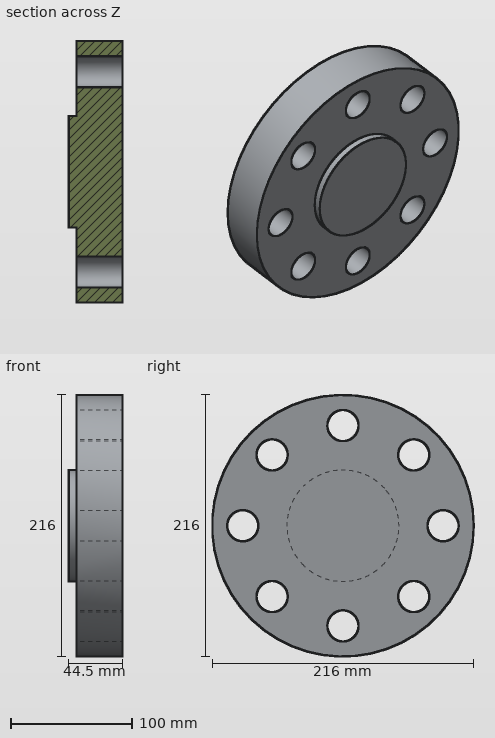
import cadquery as cq

flange_diameter = 216.0
overall_thickness = 44.5

raised_face_diameter = 92.2
raised_face_height = 6.5
flange_thickness = overall_thickness - raised_face_height

bolt_circle_diameter = 165.2
bolt_hole_diameter = 25.5
bolt_hole_count = 8


def make_flange():
    """Disc from X = 0 to its +X back face."""
    return cq.Workplane("YZ").circle(flange_diameter / 2).extrude(flange_thickness)


def make_raised_face():
    """Shallow round boss standing out from the disc toward -X."""
    return cq.Workplane("YZ").circle(raised_face_diameter / 2).extrude(-raised_face_height)


def make_bolt_holes():
    """Ring of cylinders to cut from the disc."""
    return (
        cq.Workplane("YZ")
        .polarArray(bolt_circle_diameter / 2, 0, 360, bolt_hole_count)
        .circle(bolt_hole_diameter / 2)
        .extrude(flange_thickness)
    )


result = make_flange().union(make_raised_face()).cut(make_bolt_holes())